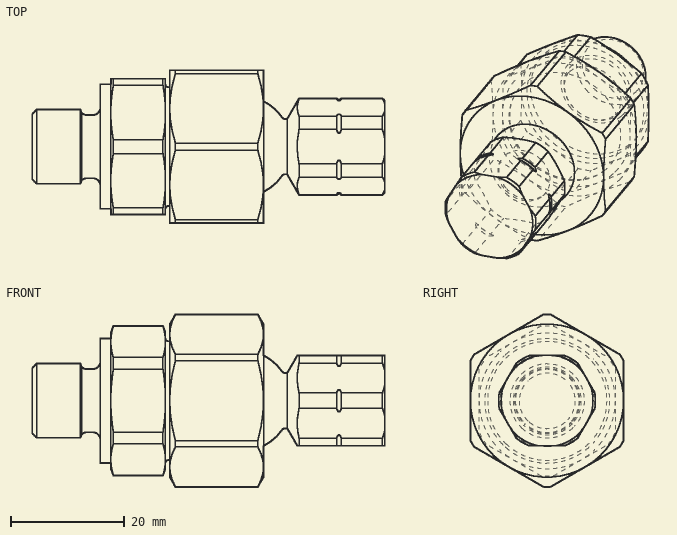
import cadquery as cq
import math


spigot_diameter = 13.1
spigot_end = 8.5
tip_chamfer = 0.8
shoulder_length = 0.2
neck_diameter = 11.2
neck_start = 9.65
neck_arc_radius = 1.3

collar_diameter = 22.0
collar_start = 12.0
front_hex_start = 13.9
front_hex_end = 23.5
front_hex_flats = 24.0
front_hex_corners = 26.45
front_hex_chamfer_angle = 20.0
joint_diameter = 21.0
joint_fillet_radius = 0.5
main_hex_start = 24.25
main_hex_end = 40.8
main_hex_flats = 27.0
main_hex_corners = 30.5
main_hex_chamfer_angle = 30.0

ball_center = 36.7
ball_radius = 9.0
ball_fillet_radius = 0.5
ball_neck_diameter = 9.8

nut_cone_start = 45.0
nut_end = 62.2
nut_flats = 16.0
nut_corners = 17.1
nut_cone_angle = 30.0
nut_end_chamfer = 0.45
mark_position = 54.1
mark_radius = 0.5
mark_depth = 0.22


def turned(points):
    """Solid of revolution about X; points are (x, radius)."""
    return cq.Workplane("XY").polyline(points).close().revolve(360, (0, 0, 0), (1, 0, 0))


def cylinder(start, end, diameter):
    return cq.Workplane("YZ").workplane(offset=start).circle(diameter / 2).extrude(end - start)


def hex_prism(start, end, flats, first_corner_angle):
    """Hexagonal prism along X; the corner angle is measured from +Y."""
    corner_circle = flats / math.cos(math.radians(30))
    prism = cq.Workplane("YZ").polygon(6, corner_circle).extrude(end - start)
    return prism.rotate((0, 0, 0), (1, 0, 0), first_corner_angle).translate((start, 0, 0))


def large_hex(start, end, flats, corners, chamfer_angle):
    """Hexagon with corners up and down, turned to a cone at both ends."""
    face_radius = flats / 2
    corner_radius = corners / 2
    chamfer_length = (corner_radius - face_radius) * math.tan(math.radians(chamfer_angle))
    envelope = turned([
        (start, 0),
        (start, face_radius),
        (start + chamfer_length, corner_radius),
        (end - chamfer_length, corner_radius),
        (end, face_radius),
        (end, 0),
    ])
    return hex_prism(start, end, flats, 90).intersect(envelope)


def spigot():
    spigot_radius = spigot_diameter / 2
    neck_radius = neck_diameter / 2
    shoulder_foot = spigot_end + shoulder_length
    arc_angle = math.asin((neck_start - shoulder_foot) / neck_arc_radius)
    arc_middle = (
        neck_start - neck_arc_radius * math.sin(arc_angle / 2),
        neck_radius + neck_arc_radius * (1 - math.cos(arc_angle / 2)),
    )
    return (
        cq.Workplane("XY")
        .lineTo(0, spigot_radius - tip_chamfer)
        .lineTo(tip_chamfer, spigot_radius)
        .lineTo(spigot_end, spigot_radius)
        .lineTo(shoulder_foot, neck_radius + neck_arc_radius * (1 - math.cos(arc_angle)))
        .threePointArc(arc_middle, (neck_start, neck_radius))
        .lineTo(collar_start - neck_arc_radius, neck_radius)
        .tangentArcPoint((collar_start, neck_radius + neck_arc_radius), relative=False)
        .lineTo(collar_start, 0)
        .close()
        .revolve(360, (0, 0, 0), (1, 0, 0))
    )


def joint():
    """Waist between the large hexagons, filleted into the front one."""
    waist_radius = joint_diameter / 2
    return (
        cq.Workplane("XY")
        .moveTo(main_hex_start, 0)
        .lineTo(main_hex_start, waist_radius)
        .lineTo(front_hex_end + joint_fillet_radius, waist_radius)
        .tangentArcPoint((front_hex_end, waist_radius + joint_fillet_radius), relative=False)
        .lineTo(front_hex_end, 0)
        .close()
        .revolve(360, (0, 0, 0), (1, 0, 0))
    )


def ball_end():
    """Rear part of the ball, from the face of the main hexagon, filleted into its neck."""
    def ball_radius_at(x):
        return math.sqrt(ball_radius**2 - (x - ball_center)**2)

    neck_radius = ball_neck_diameter / 2
    fillet_center_distance = ball_radius + ball_fillet_radius
    fillet_center_height = neck_radius + ball_fillet_radius
    fillet_end = ball_center + math.sqrt(fillet_center_distance**2 - fillet_center_height**2)
    ball_edge = ball_center + (fillet_end - ball_center) * ball_radius / fillet_center_distance
    arc_middle = (main_hex_end + ball_edge) / 2
    return (
        cq.Workplane("XY")
        .moveTo(main_hex_end, 0)
        .lineTo(main_hex_end, ball_radius_at(main_hex_end))
        .threePointArc((arc_middle, ball_radius_at(arc_middle)), (ball_edge, ball_radius_at(ball_edge)))
        .tangentArcPoint((fillet_end, neck_radius), relative=False)
        .lineTo(nut_cone_start, neck_radius)
        .lineTo(nut_cone_start, 0)
        .close()
        .revolve(360, (0, 0, 0), (1, 0, 0))
    )


def swivel_nut():
    neck_radius = ball_neck_diameter / 2
    corner_radius = nut_corners / 2
    cone_length = (corner_radius - neck_radius) * math.tan(math.radians(nut_cone_angle))
    envelope = turned([
        (nut_cone_start, 0),
        (nut_cone_start, neck_radius),
        (nut_cone_start + cone_length, corner_radius),
        (nut_end - nut_end_chamfer, corner_radius),
        (nut_end, corner_radius - nut_end_chamfer),
        (nut_end, 0),
    ])
    mark_center = corner_radius - mark_depth + mark_radius
    mark = (
        cq.Workplane("XY")
        .moveTo(mark_position, mark_center)
        .circle(mark_radius)
        .revolve(360, (0, 0, 0), (1, 0, 0))
    )
    return hex_prism(nut_cone_start, nut_end, nut_flats, 0).intersect(envelope).cut(mark)


collar = cylinder(collar_start, front_hex_start, collar_diameter)
front_hex = large_hex(
    front_hex_start, front_hex_end, front_hex_flats, front_hex_corners, front_hex_chamfer_angle
)
main_hex = large_hex(
    main_hex_start, main_hex_end, main_hex_flats, main_hex_corners, main_hex_chamfer_angle
)

result = (
    spigot()
    .union(collar)
    .union(front_hex)
    .union(joint())
    .union(main_hex)
    .union(ball_end())
    .union(swivel_nut())
)